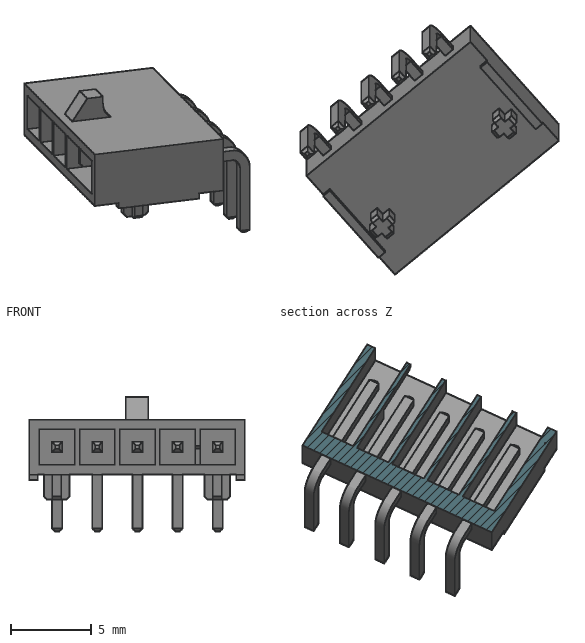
import cadquery as cq
import math


pin_count = 5
pitch = 2.5
row_offset = 0.03
body_width = 13.44
body_depth = 8.48
body_height = 3.43
mid_height = body_height / 2

cavity_size = 2.2
cavity_depth = 6.99
cavity_wall = pitch - cavity_size

notch_height = 1.6
notch_depth = 3.5
notch_lead_in = 0.2

latch_width = 1.42
latch_height = 1.41
latch_toe_y = 0.6
latch_crest_front_y = 1.59
latch_crest_back_y = 2.62
latch_back_radius = 1.25
latch_straight_height = 0.4

rail_width = 0.55
rail_length = 5.3
rail_height = 0.35

peg_span = 1.61
peg_arm_width = 0.54
peg_length = 1.56
peg_chamfer = 0.2
peg_y = 3.23
peg_spacing = (pin_count - 1) * pitch

pin_size = 0.65
pin_overhang = 2.22
pin_drop = 3.55
pin_bend_radius = 1.28
pin_bend_reach = 1.01
pin_tip_taper = 0.2
pin_front_y = 2.02

pin_positions = [row_offset + (i - (pin_count - 1) / 2) * pitch for i in range(pin_count)]


def make_housing():
    """Housing block with one square blind cavity per pin."""
    body = cq.Workplane("XY").box(body_width, body_depth, body_height, centered=(True, False, False))
    cavities = (
        cq.Workplane("XZ", origin=(0, 0, mid_height))
        .pushPoints([(x, 0) for x in pin_positions])
        .rect(cavity_size, cavity_size)
        .extrude(-cavity_depth)
    )
    return body.cut(cavities)


def make_notch():
    """Opening below the partition between the last two cavities, with a sloped lead-in."""
    floor_z = mid_height - cavity_size / 2
    partition_x = pin_positions[-1] - pitch / 2
    return (
        cq.Workplane("YZ", origin=(partition_x, 0, 0))
        .moveTo(0, floor_z)
        .lineTo(notch_depth, floor_z)
        .lineTo(notch_depth, notch_height)
        .lineTo(notch_lead_in, notch_height)
        .lineTo(0, notch_height + notch_lead_in)
        .close()
        .extrude(cavity_wall / 2, both=True)
    )


def make_latch():
    """Ramped latch with a concave back that flares into the top face."""
    arc_height = latch_height - latch_straight_height
    arc_start_z = body_height + arc_height
    flare = latch_back_radius - math.sqrt(latch_back_radius**2 - arc_height**2)
    return (
        cq.Workplane("YZ")
        .moveTo(latch_toe_y, body_height)
        .lineTo(latch_crest_front_y, body_height + latch_height)
        .lineTo(latch_crest_back_y, body_height + latch_height)
        .lineTo(latch_crest_back_y, arc_start_z)
        .radiusArc((latch_crest_back_y + flare, body_height), -latch_back_radius)
        .close()
        .extrude(latch_width / 2, both=True)
    )


def make_rails():
    """Standoff rails flush with the two ends of the housing."""
    rail_x = (body_width - rail_width) / 2
    return (
        cq.Workplane("XY")
        .pushPoints([(-rail_x, body_depth / 2), (rail_x, body_depth / 2)])
        .rect(rail_width, rail_length)
        .extrude(-rail_height)
    )


def make_peg(x):
    """Cross-shaped peg whose four arms are chamfered at the lower end."""
    centre = cq.Workplane("XY", origin=(x, peg_y, 0))
    arm_x = centre.rect(peg_span, peg_arm_width).extrude(-peg_length)
    arm_y = centre.rect(peg_arm_width, peg_span).extrude(-peg_length)
    arm_x = arm_x.faces("<Z").edges("|Y").chamfer(peg_chamfer)
    arm_y = arm_y.faces("<Z").edges("|X").chamfer(peg_chamfer)
    return arm_x.union(arm_y)


def make_pin(x):
    """Square pin bent down behind the housing, tapered at both ends.

    The bend is a pair of concentric arcs. They run smoothly into the hanging leg and
    meet the horizontal leg at a slight angle.
    """
    back_y = body_depth + pin_overhang
    inner_y = back_y - pin_size
    top_z = mid_height + pin_size / 2
    bottom_z = top_z - pin_size
    inner_radius = pin_bend_radius - pin_size
    centre_y = back_y - pin_bend_radius
    centre_z = top_z - math.sqrt(pin_bend_radius**2 - (pin_bend_radius - pin_bend_reach) ** 2)
    inner_end_y = centre_y + math.sqrt(inner_radius**2 - (bottom_z - centre_z) ** 2)
    pin = (
        cq.Workplane("YZ", origin=(x, 0, 0))
        .moveTo(pin_front_y, top_z)
        .lineTo(back_y - pin_bend_reach, top_z)
        .radiusArc((back_y, centre_z), pin_bend_radius)
        .lineTo(back_y, -pin_drop)
        .lineTo(inner_y, -pin_drop)
        .lineTo(inner_y, centre_z)
        .radiusArc((inner_end_y, bottom_z), -inner_radius)
        .lineTo(pin_front_y, bottom_z)
        .close()
        .extrude(pin_size / 2, both=True)
    )
    return pin.faces("<Y or <Z").chamfer(pin_tip_taper)


result = make_housing().cut(make_notch())
result = result.union(make_latch()).union(make_rails())
for pin_x in pin_positions:
    result = result.union(make_pin(pin_x))
for peg_x in (-peg_spacing / 2, peg_spacing / 2):
    result = result.union(make_peg(peg_x))